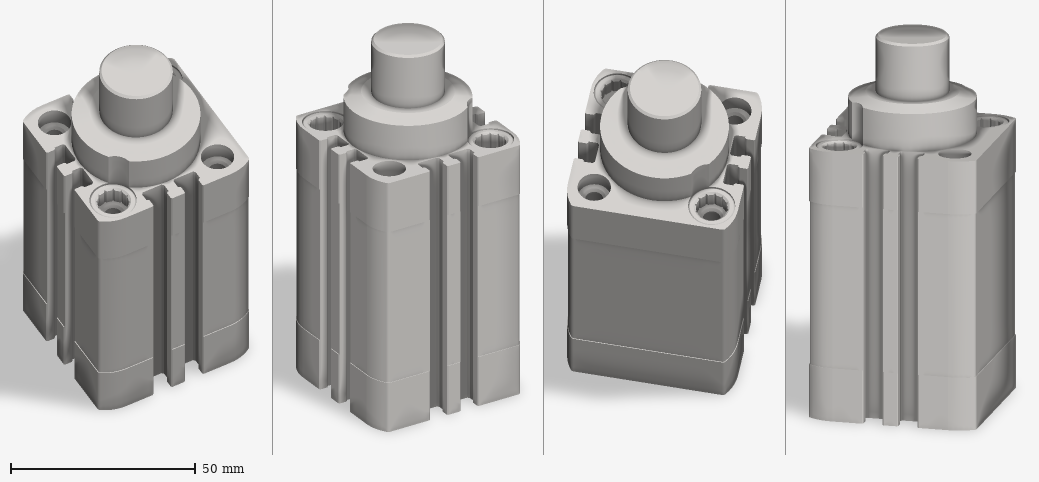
import cadquery as cq
import math

block_width = 47.0
block_height = 76.0
half_width = block_width / 2
cap_height = 15.0
band_recess = 0.2
corner_radius = 12.0
corner_blend_radius = 1.0

collar_diameter = 34.9
collar_top = 88.0
collar_cone_height = 1.5
collar_face_diameter = 25.5
rod_diameter = 20.0
rod_top = 104.0
rod_chamfer = 0.6

slot_floor = 17.7
lip_depth = 2.8
rib_half_width = 1.5
rib_head_half_width = 2.2
slot_far_edge = 8.3
opening_far_edge = 7.6
slot_chamfer = 0.5
lip_chamfer = 0.4
opening_chamfer = 0.3

hole_offset = 16.2
bore_diameter = 4.9
bore_mouth_diameter = 6.2
bore_mouth_depth = (bore_mouth_diameter - bore_diameter) / 2
counterbore_diameter = 9.0
counterbore_depth = 4.8

screw_diameter = 12.8
screw_length = 8.3
screw_recess = 0.2
screw_chamfer = 0.4
socket_depth = 5.0
socket_diameter = 8.5
socket_point_diameter = 9.4
socket_squares = 3
socket_mouth_diameter = 9.8
socket_mouth_depth = (socket_mouth_diameter - socket_diameter) / 2
screw_top = block_height - screw_recess
screw_bottom = screw_top - screw_length

plain_hole_places = [(hole_offset, hole_offset), (-hole_offset, -hole_offset)]
screw_places = [(-hole_offset, hole_offset), (hole_offset, -hole_offset)]


def block_outline(half_size, height):
    """Prism with flat +Y/-Y faces and corners rounded onto the +X/-X faces."""
    arc_start = hole_offset
    rise = half_size - arc_start
    arc_center = half_size - corner_radius
    arc_end = arc_center + math.sqrt(corner_radius**2 - rise**2)
    half_angle = math.asin(rise / corner_radius) / 2
    mid_x = arc_center + corner_radius * math.cos(half_angle)
    mid_y = arc_start + corner_radius * math.sin(half_angle)
    prism = (
        cq.Workplane("XY")
        .moveTo(half_size, -arc_start)
        .lineTo(half_size, arc_start)
        .threePointArc((mid_x, mid_y), (arc_end, half_size))
        .lineTo(-arc_end, half_size)
        .threePointArc((-mid_x, mid_y), (-half_size, arc_start))
        .lineTo(-half_size, -arc_start)
        .threePointArc((-mid_x, -mid_y), (-arc_end, -half_size))
        .lineTo(arc_end, -half_size)
        .threePointArc((mid_x, -mid_y), (half_size, -arc_start))
        .close()
        .extrude(height)
    )
    sharp_corners = "(|Z and >Y) or (|Z and <Y)"
    return prism.edges(sharp_corners).fillet(corner_blend_radius)


def slot_pair(angle):
    """Two mirrored T-slots of the -Y side, turned about Z to the wanted side."""
    lip_inner = half_width - lip_depth
    slot = (
        cq.Workplane("XY")
        .moveTo(rib_head_half_width - opening_chamfer, -half_width)
        .lineTo(rib_head_half_width, -half_width + opening_chamfer)
        .lineTo(rib_head_half_width, -lip_inner - lip_chamfer)
        .lineTo(rib_head_half_width - lip_chamfer, -lip_inner)
        .lineTo(rib_half_width, -lip_inner)
        .lineTo(rib_half_width, -slot_floor - slot_chamfer)
        .lineTo(rib_half_width + slot_chamfer, -slot_floor)
        .lineTo(slot_far_edge - slot_chamfer, -slot_floor)
        .lineTo(slot_far_edge, -slot_floor - slot_chamfer)
        .lineTo(slot_far_edge, -lip_inner)
        .lineTo(opening_far_edge + lip_chamfer, -lip_inner)
        .lineTo(opening_far_edge, -lip_inner - lip_chamfer)
        .lineTo(opening_far_edge, -half_width + opening_chamfer)
        .lineTo(opening_far_edge + opening_chamfer, -half_width)
        .close()
        .extrude(block_height)
    )
    return slot.union(slot.mirror("YZ")).rotate((0, 0, 0), (0, 0, 1), angle)


def countersunk_bore(place, top):
    """Through bore below the given height, with a conical mouth."""
    bore_radius = bore_diameter / 2
    return (
        cq.Workplane("XZ")
        .lineTo(bore_radius, 0)
        .lineTo(bore_radius, top - bore_mouth_depth)
        .lineTo(bore_mouth_diameter / 2, top)
        .lineTo(0, top)
        .close()
        .revolve(360, (0, 0, 0), (0, 1, 0))
        .translate((*place, 0))
    )


def collar_and_rod():
    collar_radius = collar_diameter / 2
    rod_radius = rod_diameter / 2
    return (
        cq.Workplane("XZ")
        .moveTo(0, block_height)
        .lineTo(collar_radius, block_height)
        .lineTo(collar_radius, collar_top - collar_cone_height)
        .lineTo(collar_face_diameter / 2, collar_top)
        .lineTo(rod_radius, collar_top)
        .lineTo(rod_radius, rod_top - rod_chamfer)
        .lineTo(rod_radius - rod_chamfer, rod_top)
        .lineTo(0, rod_top)
        .close()
        .revolve(360, (0, 0, 0), (0, 1, 0))
    )


def make_housing():
    cap = block_outline(half_width, cap_height)
    band_height = block_height - 2 * cap_height
    band = block_outline(half_width - band_recess, band_height).translate((0, 0, cap_height))
    body = cap.union(band).union(cap.translate((0, 0, block_height - cap_height)))
    for angle in (0, 90, -90):
        body = body.cut(slot_pair(angle))
    body = body.union(collar_and_rod())

    for place in plain_hole_places:
        floor = block_height - counterbore_depth
        counterbore = (
            cq.Workplane("XY", origin=(*place, floor))
            .circle(counterbore_diameter / 2)
            .extrude(counterbore_depth)
        )
        body = body.cut(counterbore).cut(countersunk_bore(place, floor))

    for place in screw_places:
        recess = (
            cq.Workplane("XY", origin=(*place, screw_bottom))
            .circle(screw_diameter / 2)
            .extrude(collar_top - screw_bottom)
        )
        bore = cq.Workplane("XY", origin=(*place, 0)).circle(bore_diameter / 2).extrude(block_height)
        body = body.cut(recess).cut(bore)
    return body


def make_screw(place):
    """Hollow screw head, sunk just below the block top, with a 12-point socket."""
    head = (
        cq.Workplane("XY", origin=(*place, screw_bottom))
        .circle(screw_diameter / 2)
        .extrude(screw_length)
        .faces(">Z")
        .chamfer(screw_chamfer)
    )
    floor = screw_top - socket_depth
    socket = cq.Workplane("XY").circle(socket_diameter / 2).extrude(socket_depth)
    for index in range(socket_squares):
        square = (
            cq.Workplane("XY")
            .polygon(4, socket_point_diameter)
            .extrude(socket_depth)
            .rotate((0, 0, 0), (0, 0, 1), index * 90 / socket_squares)
        )
        socket = socket.union(square)
    mouth = cq.Workplane(cq.Solid.makeCone(
        socket_diameter / 2,
        socket_mouth_diameter / 2,
        socket_mouth_depth,
        pnt=cq.Vector(*place, screw_top - socket_mouth_depth),
    ))
    return head.cut(socket.translate((*place, floor))).cut(mouth).cut(countersunk_bore(place, floor))


housing = make_housing()
screws = [make_screw(place) for place in screw_places]

result = cq.Compound.makeCompound([housing.val(), *[screw.val() for screw in screws]])